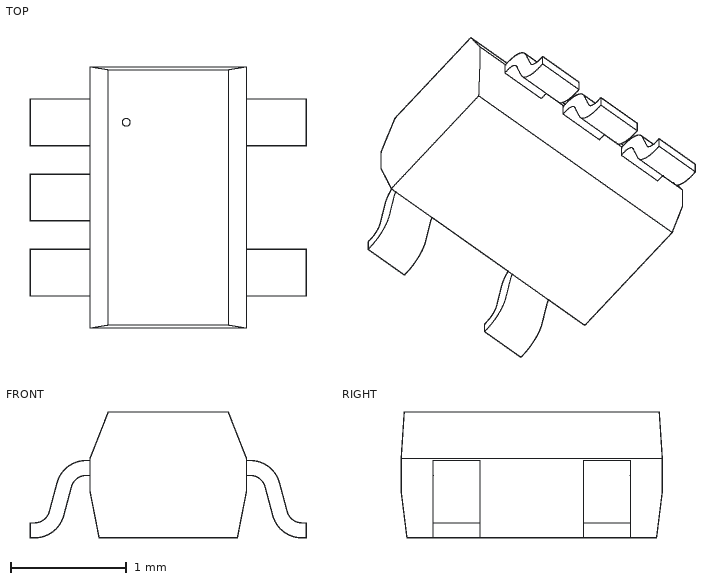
import cadquery as cq
import math

housing_width = 1.355
housing_length = 2.26
housing_height = 1.09
band_bottom = 0.402
band_top = 0.688
top_inset_x = 0.158
top_inset_y = 0.026
bottom_inset_x = 0.08
bottom_inset_y = 0.05

lead_span = 2.39
lead_pitch = 0.65
lead_width = 0.406
lead_thickness = 0.131
lead_top = 0.672
inner_bend_radius = 0.131
outer_bend_radius = inner_bend_radius + lead_thickness
foot_flat = 0.038
bend_angle = 75.0

marker_diameter = 0.067
marker_depth = 0.01
marker_x = -0.363
marker_y = lead_pitch


def tapered_block(start_z, end_z, inset_x, inset_y):
    """Loft from the full housing rectangle at start_z to an inset one at end_z."""
    return (
        cq.Workplane("XY")
        .workplane(offset=start_z)
        .rect(housing_width, housing_length)
        .workplane(offset=end_z - start_z)
        .rect(housing_width - 2 * inset_x, housing_length - 2 * inset_y)
        .loft(ruled=True)
    )


def make_marker():
    return (
        cq.Workplane("XY")
        .workplane(offset=housing_height - marker_depth)
        .center(marker_x, marker_y)
        .circle(marker_diameter / 2)
        .extrude(marker_depth)
    )


def make_housing():
    band = (
        cq.Workplane("XY")
        .workplane(offset=band_bottom)
        .rect(housing_width, housing_length)
        .extrude(band_top - band_bottom)
    )
    upper = tapered_block(band_top, housing_height, top_inset_x, top_inset_y)
    lower = tapered_block(band_bottom, 0, bottom_inset_x, bottom_inset_y)
    return band.union(upper).union(lower).cut(make_marker())


def point_on_circle(center, radius, angle):
    """Point at an angle in degrees, measured from +X toward +Z."""
    turn = math.radians(angle)
    return (center[0] + radius * math.cos(turn), center[1] + radius * math.sin(turn))


def make_lead(y):
    """Lead on the +X side, centred at y."""
    tip_x = lead_span / 2
    root_x = housing_width / 2
    foot_center = (tip_x - foot_flat, outer_bend_radius)
    shoulder_z = lead_top - outer_bend_radius

    turn = math.radians(bend_angle)
    bend_reach = (inner_bend_radius + outer_bend_radius) * math.sin(turn)
    bend_rise = (inner_bend_radius + outer_bend_radius) * (1 - math.cos(turn))
    leg_rise = lead_top - lead_thickness - bend_rise
    shoulder_x = foot_center[0] - bend_reach - leg_rise / math.tan(turn)
    shoulder_center = (shoulder_x, shoulder_z)

    shoulder_end = 90 - bend_angle
    shoulder_middle = 90 - bend_angle / 2
    foot_start = 270 - bend_angle
    foot_middle = 270 - bend_angle / 2

    profile = (
        cq.Workplane("XZ", origin=(0, y, 0))
        .moveTo(root_x, lead_top)
        .lineTo(shoulder_x, lead_top)
        .threePointArc(
            point_on_circle(shoulder_center, outer_bend_radius, shoulder_middle),
            point_on_circle(shoulder_center, outer_bend_radius, shoulder_end),
        )
        .lineTo(*point_on_circle(foot_center, inner_bend_radius, foot_start))
        .threePointArc(
            point_on_circle(foot_center, inner_bend_radius, foot_middle),
            (foot_center[0], lead_thickness),
        )
        .lineTo(tip_x, lead_thickness)
        .lineTo(tip_x, 0)
        .lineTo(foot_center[0], 0)
        .threePointArc(
            point_on_circle(foot_center, outer_bend_radius, foot_middle),
            point_on_circle(foot_center, outer_bend_radius, foot_start),
        )
        .lineTo(*point_on_circle(shoulder_center, inner_bend_radius, shoulder_end))
        .threePointArc(
            point_on_circle(shoulder_center, inner_bend_radius, shoulder_middle),
            (shoulder_x, lead_top - lead_thickness),
        )
        .lineTo(root_x, lead_top - lead_thickness)
        .close()
    )
    return profile.extrude(lead_width / 2, both=True)


leads = []
for row in (-1, 0, 1):
    lead = make_lead(row * lead_pitch)
    leads.append(lead.mirror("YZ").val())
    if row != 0:
        leads.append(lead.val())

housing = make_housing()
marker = make_marker()

result = cq.Compound.makeCompound([housing.val(), marker.val(), *leads])